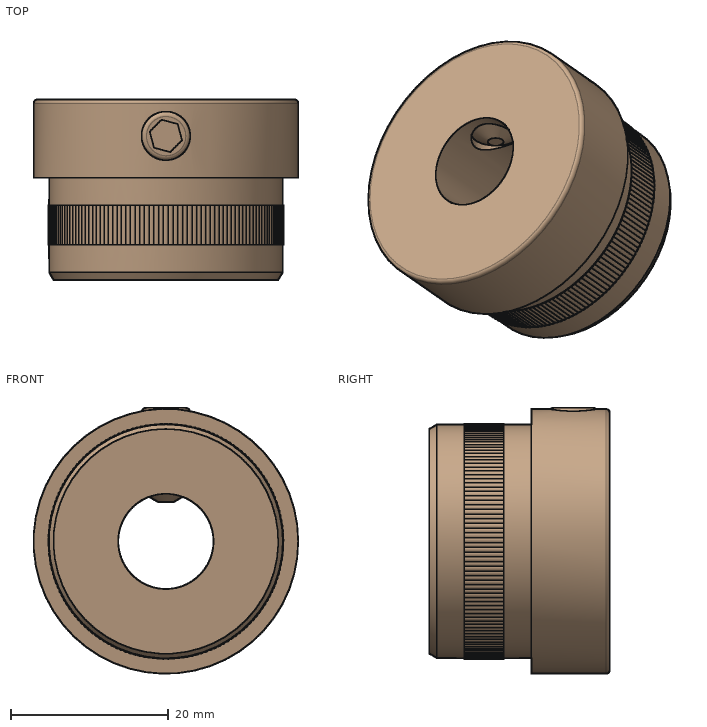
import cadquery as cq
import math

collar_diameter = 33.7
collar_length = 10.0
collar_fillet = 0.5
sleeve_diameter = 29.75
total_length = 23.0
bore_diameter = 12.1
lead_chamfer_length = 1.0
lead_chamfer_angle = 30.0
collar_end_y = total_length / 2
collar_shoulder_y = collar_end_y - collar_length
sleeve_end_y = collar_end_y - total_length

ridge_count = 153
knurl_diameter = 29.94
knurl_length = 5.0
knurl_end_gap = 4.5
knurl_start_y = sleeve_end_y + knurl_end_gap

screw_diameter = 6.2
screw_length = 12.0
screw_top_z = 17.0
screw_setback = 4.65
screw_y = collar_end_y - screw_setback
screw_top_fillet = 0.6
socket_corner_diameter = 4.26
socket_depth = 4.0
socket_turn = 45.0
tip_flat_diameter = 2.0
tip_cone_angle = 120.0
screw_bottom_z = screw_top_z - screw_length


def along_y(diameter, start_y, length):
    """Cylinder on the Y axis, running from start_y toward +Y."""
    return cq.Workplane("XZ", origin=(0, start_y, 0)).circle(diameter / 2).extrude(-length)


def make_knurl():
    """Ring of convex ridges whose valleys lie on the sleeve surface."""
    pitch = 2 * math.pi / ridge_count

    def point(radius, step):
        return (radius * math.sin(step * pitch), radius * math.cos(step * pitch))

    valley_radius = sleeve_diameter / 2
    crest_radius = knurl_diameter / 2
    outline = cq.Workplane("XZ", origin=(0, knurl_start_y, 0)).moveTo(*point(valley_radius, -0.5))
    for ridge in range(ridge_count):
        outline = outline.threePointArc(point(crest_radius, ridge), point(valley_radius, ridge + 0.5))
    return outline.close().extrude(-knurl_length)


def make_hub():
    """Collar and knurled sleeve with the bore and the hole for the set screw."""
    collar = along_y(collar_diameter, collar_shoulder_y, collar_length)
    collar = collar.faces(">Y").edges().fillet(collar_fillet)

    sleeve = along_y(sleeve_diameter, sleeve_end_y, total_length - collar_length)
    chamfer_depth = lead_chamfer_length * math.tan(math.radians(lead_chamfer_angle))
    lead_cone = cq.Solid.makeCone(
        sleeve_diameter / 2 - chamfer_depth,
        sleeve_diameter / 2,
        lead_chamfer_length,
        cq.Vector(0, sleeve_end_y, 0),
        cq.Vector(0, 1, 0),
    )
    sleeve_end = along_y(sleeve_diameter, sleeve_end_y, lead_chamfer_length)
    sleeve = sleeve.cut(sleeve_end.cut(cq.Workplane(lead_cone)))

    bore = along_y(bore_diameter, sleeve_end_y, total_length)
    screw_hole = cq.Workplane("XY", origin=(0, screw_y, 0)).circle(screw_diameter / 2).extrude(screw_top_z)
    return collar.union(sleeve).union(make_knurl()).cut(bore).cut(screw_hole)


def make_screw():
    """Headless set screw with a rounded top edge, a hex socket and a cone point."""
    radius = screw_diameter / 2
    tip_radius = tip_flat_diameter / 2
    cone_height = (radius - tip_radius) / math.tan(math.radians(tip_cone_angle / 2))
    half_profile = (
        cq.Workplane("XZ", origin=(0, screw_y, 0))
        .moveTo(0, screw_bottom_z)
        .lineTo(tip_radius, screw_bottom_z)
        .lineTo(radius, screw_bottom_z + cone_height)
        .lineTo(radius, screw_top_z)
        .lineTo(0, screw_top_z)
        .close()
    )
    screw = half_profile.revolve(360, (0, 0), (0, 1))
    screw = screw.faces(">Z").edges().fillet(screw_top_fillet)
    socket = (
        cq.Workplane("XY", origin=(0, screw_y, screw_top_z))
        .transformed(rotate=(0, 0, socket_turn))
        .polygon(6, socket_corner_diameter)
        .extrude(-socket_depth)
    )
    return screw.cut(socket)


hub = make_hub()
screw = make_screw()
result = cq.Compound.makeCompound([hub.val(), screw.val()])